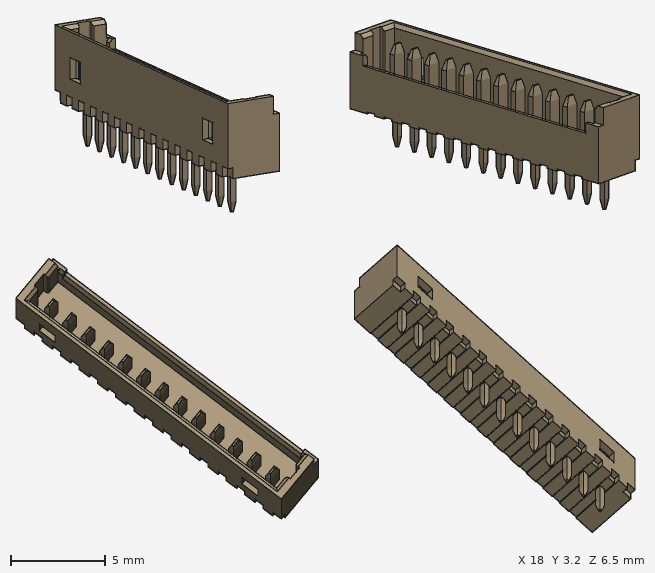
import cadquery as cq


length = 18.0
depth = 3.2
total_height = 6.5
pin_tail = 2.3
height = total_height - pin_tail

front_wall = 0.38
back_wall = 0.38
end_wall = 0.61
floor = 1.2
lead_in_height = 0.22
front_lead_in = 0.18
back_lead_in = 0.18
end_lead_in = 0.2

end_block_length = 0.94
end_block_drop = 0.99
back_wall_drop = 1.57

groove_bottom_wall = 0.32
groove_front = 1.19
groove_width = 0.8
groove_edge_bevel = 0.07

pin_count = 13
pin_span = 15.0
pitch = pin_span / (pin_count - 1)
pin_x = [(i - (pin_count - 1) / 2) * pitch for i in range(pin_count)]
pin_y = 1.13
pin_width = 0.35
blade_depth = 0.75
blade_top = 3.51
blade_tip_height = 0.54
blade_tip_width = 0.1
blade_tip_depth = 0.4
blade_tip_shift = 0.04
blade_tip_y = pin_y - blade_tip_shift
tail_tip_height = 0.61
tail_tip_width = 0.13

window_width = 1.08
window_height = 1.19
window_bottom = 1.57
window_x = (pin_span - pitch) / 2

notch_width = 0.54
corner_notch_width = 0.58
notch_height = 0.6
notch_depth = 0.32
channel_height = 0.1


def box(x_min, x_max, y_min, y_max, z_min, z_max):
    """Block given by its limits along each axis."""
    size = (x_max - x_min, y_max - y_min, z_max - z_min)
    return cq.Workplane("XY").box(*size, centered=False).translate((x_min, y_min, z_min))


def centred_box(x, width, y_min, y_max, z_min, z_max):
    """Block centred on x."""
    return box(x - width / 2, x + width / 2, y_min, y_max, z_min, z_max)


def tapered_tip(x, z, base, tip, tip_y, tip_height):
    """Frustum on a pin, ending at tip_y; a negative tip height points it downwards."""
    return (
        cq.Workplane("XY", origin=(x, pin_y, z))
        .rect(*base)
        .workplane(offset=tip_height)
        .center(0, tip_y - pin_y)
        .rect(*tip)
        .loft(ruled=True)
    )


def wedge_along_x(x_min, x_max, y_wall, y_outer, z_top):
    """Triangular bevel cutter along X, widening from the wall at y_wall to y_outer at z_top."""
    profile = [(y_wall, z_top - lead_in_height), (y_outer, z_top), (y_wall, z_top)]
    return cq.Workplane("YZ", origin=(x_min, 0, 0)).polyline(profile).close().extrude(x_max - x_min)


def make_housing():
    """Open box with a lowered back wall and bevelled lead-ins around its mouth."""
    half = length / 2
    cavity_half = half - end_wall
    cavity_back = depth - back_wall
    block_top = height - end_block_drop
    back_top = height - back_wall_drop
    block_half = half - end_block_length

    body = box(-half, half, 0, depth, 0, height)
    body = body.cut(box(-cavity_half, cavity_half, front_wall, cavity_back, floor, height))
    body = body.cut(box(-half, half, cavity_back, depth, block_top, height))
    body = body.cut(box(-block_half, block_half, cavity_back, depth, back_top, height))

    mouth_half = cavity_half + end_lead_in
    front_and_ends = (
        cq.Workplane("XY", origin=(0, 0, height - lead_in_height))
        .polyline([(-cavity_half, front_wall), (cavity_half, front_wall),
                   (cavity_half, depth), (-cavity_half, depth)]).close()
        .workplane(offset=lead_in_height)
        .polyline([(-mouth_half, front_wall - front_lead_in), (mouth_half, front_wall - front_lead_in),
                   (mouth_half, depth), (-mouth_half, depth)]).close()
        .loft(ruled=True)
    )
    body = body.cut(front_and_ends)

    bevel_outer = cavity_back + back_lead_in
    body = body.cut(wedge_along_x(-block_half, block_half, cavity_back, bevel_outer, back_top))
    body = body.cut(wedge_along_x(-cavity_half, -block_half, cavity_back, bevel_outer, block_top))
    return body.cut(wedge_along_x(block_half, cavity_half, cavity_back, bevel_outer, block_top))


def make_key_groove():
    """Groove cutter for the +X end wall, with bevelled edges where it meets the cavity."""
    cavity_half = length / 2 - end_wall
    groove_end = length / 2 - groove_bottom_wall
    groove_back = groove_front + groove_width
    outline = [
        (cavity_half, groove_front - groove_edge_bevel),
        (cavity_half + groove_edge_bevel, groove_front),
        (groove_end, groove_front),
        (groove_end, groove_back),
        (cavity_half + groove_edge_bevel, groove_back),
        (cavity_half, groove_back + groove_edge_bevel),
    ]
    return cq.Workplane("XY", origin=(0, 0, floor)).polyline(outline).close().extrude(height - floor)


def make_pin(x):
    """Flat blade inside the cavity and a square tail below, both with tapered tips."""
    blade_shoulder = blade_top - blade_tip_height
    tail_shoulder = tail_tip_height - pin_tail
    blade_section = (pin_width, blade_depth)
    tail_section = (pin_width, pin_width)

    blade = centred_box(x, pin_width, pin_y - blade_depth / 2, pin_y + blade_depth / 2,
                        channel_height, blade_shoulder)
    tail = centred_box(x, pin_width, pin_y - pin_width / 2, pin_y + pin_width / 2,
                       tail_shoulder, channel_height)
    blade_tip = tapered_tip(x, blade_shoulder, blade_section,
                            (blade_tip_width, blade_tip_depth), blade_tip_y, blade_tip_height)
    tail_tip = tapered_tip(x, tail_shoulder, tail_section,
                           (tail_tip_width, tail_tip_width), pin_y, -tail_tip_height)
    return blade.union(tail).union(blade_tip).union(tail_tip)


result = make_housing()

key_groove = make_key_groove()
result = result.cut(key_groove).cut(key_groove.mirror("YZ"))

for x in (-window_x, window_x):
    result = result.cut(
        centred_box(x, window_width, 0, front_wall, window_bottom, window_bottom + window_height)
    )

for x in pin_x:
    result = result.cut(centred_box(x, notch_width, 0, notch_depth, 0, notch_height))
    result = result.cut(centred_box(x, notch_width, 0, depth, 0, channel_height))

for x in (-length / 2, length / 2):
    result = result.cut(centred_box(x, 2 * corner_notch_width, 0, notch_depth, 0, notch_height))

for x in pin_x:
    result = result.union(make_pin(x))